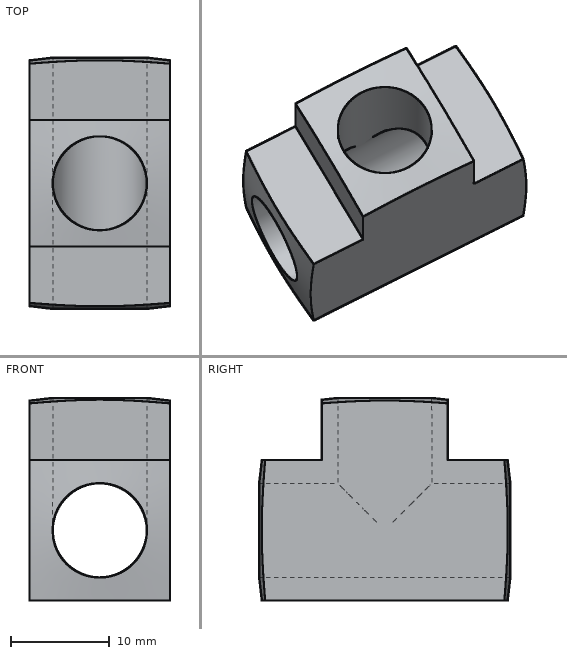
import cadquery as cq
import math

run_length = 25.4
width = 14.22
total_height = 20.5
branch_depth = 12.77
bore_diameter = 9.5
end_angle = 6.7

bore_radius = bore_diameter / 2
half_run = run_length / 2
branch_top = total_height - width / 2
cone_radius = width
cone_drop = (cone_radius - bore_radius) * math.tan(math.radians(end_angle))


def coned_envelope(low, high, cone_low):
    """Solid of revolution about Z, coned from the bore rim at the top and optionally at the bottom."""
    low_rim = low + cone_drop if cone_low else low
    profile = (
        cq.Workplane("XZ")
        .moveTo(0, low)
        .lineTo(bore_radius, low)
        .lineTo(cone_radius, low_rim)
        .lineTo(cone_radius, high - cone_drop)
        .lineTo(bore_radius, high)
        .lineTo(0, high)
        .close()
    )
    return profile.revolve(360, (0, 0), (0, 1))


run_envelope = coned_envelope(-half_run, half_run, True).rotate((0, 0, 0), (1, 0, 0), 90)
run = cq.Workplane("XY").box(width, run_length, width).intersect(run_envelope)

branch_block = cq.Workplane("XY").rect(width, branch_depth).extrude(branch_top)
branch = branch_block.intersect(coned_envelope(0, branch_top, False))

run_bore = cq.Workplane("XZ").circle(bore_radius).extrude(half_run, both=True)
branch_bore = cq.Workplane("XY").circle(bore_radius).extrude(branch_top)

result = run.union(branch).cut(run_bore).cut(branch_bore)